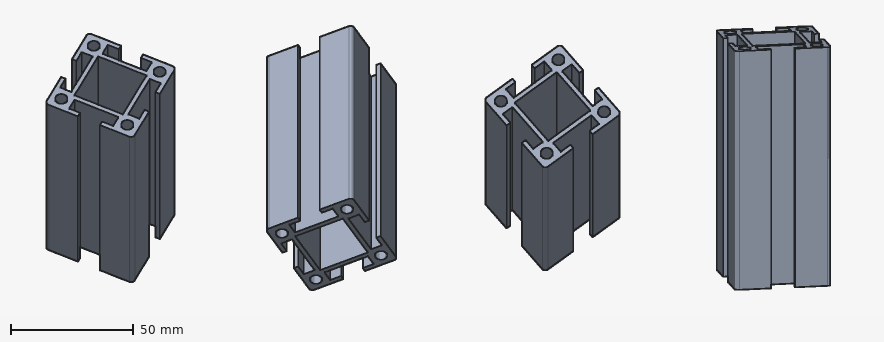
import cadquery as cq

width = 40.0
length = 100.0
corner_radius = 1.6

slot_opening = 10.0
slot_width = 20.0
lip_thickness = 2.0
slot_depth = 7.0

cavity_width = 22.0

hole_diameter = 5.0
hole_spacing = 30.0


def make_body():
    """Square bar with rounded long edges, standing on Z = 0."""
    bar = cq.Workplane("XY").rect(width, width).extrude(length)
    return bar.edges("|Z").fillet(corner_radius)


def make_slot():
    """T-shaped cutter for the slot in the +Y side."""
    outer = width / 2
    half_opening = slot_opening / 2
    half_width = slot_width / 2
    lip_inner = outer - lip_thickness
    floor = outer - slot_depth
    return (
        cq.Workplane("XY")
        .moveTo(-half_opening, outer)
        .lineTo(-half_opening, lip_inner)
        .lineTo(-half_width, lip_inner)
        .lineTo(-half_width, floor)
        .lineTo(half_width, floor)
        .lineTo(half_width, lip_inner)
        .lineTo(half_opening, lip_inner)
        .lineTo(half_opening, outer)
        .close()
        .extrude(length)
    )


def make_cavity():
    """Square cutter running the full length of the bar."""
    return cq.Workplane("XY").rect(cavity_width, cavity_width).extrude(length)


def make_corner_holes():
    """Four round cutters, one in each corner."""
    return (
        cq.Workplane("XY")
        .rect(hole_spacing, hole_spacing, forConstruction=True)
        .vertices()
        .circle(hole_diameter / 2)
        .extrude(length)
    )


result = make_body().cut(make_cavity()).cut(make_corner_holes())
for angle in (0, 90, 180, 270):
    result = result.cut(make_slot().rotate((0, 0, 0), (0, 0, 1), angle))